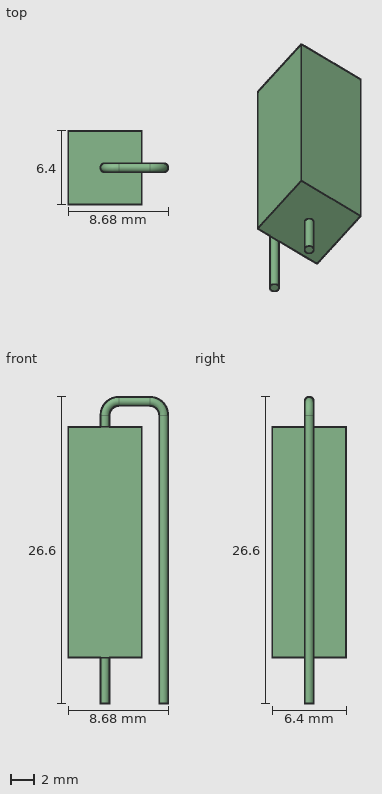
import cadquery as cq
import math


body_width = 6.4
body_height = 20.0
wire_diameter = 0.8
lead_pitch = 5.08
lead_length = 4.0
top_stub = 1.0
bend_radius = 1.2

lead_tip_z = -lead_length
bend_start_z = body_height + top_stub
loop_top_z = bend_start_z + bend_radius


def make_body():
    """Square block centred on the first lead."""
    return cq.Workplane("XY").rect(body_width, body_width).extrude(body_height)


def make_wire():
    """Round wire running up through the body, over the top and down beside it."""
    bend_inset = bend_radius * (1 - math.cos(math.pi / 4))
    bend_mid_z = loop_top_z - bend_inset
    centreline = (
        cq.Workplane("XZ")
        .moveTo(0, lead_tip_z)
        .lineTo(0, bend_start_z)
        .threePointArc((bend_inset, bend_mid_z), (bend_radius, loop_top_z))
        .lineTo(lead_pitch - bend_radius, loop_top_z)
        .threePointArc((lead_pitch - bend_inset, bend_mid_z), (lead_pitch, bend_start_z))
        .lineTo(lead_pitch, lead_tip_z)
    )
    section = cq.Workplane("XY", origin=(0, 0, lead_tip_z)).circle(wire_diameter / 2)
    return section.sweep(centreline)


result = make_body().union(make_wire())